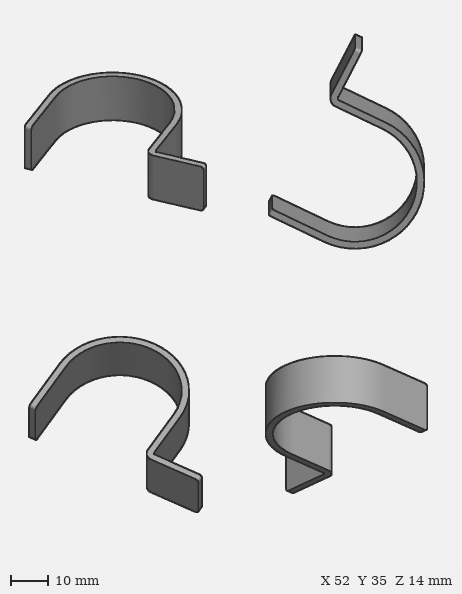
import cadquery as cq
import math

overall_length = 52.0
overall_depth = 35.0
strip_width = 14.0

thickness = 2.0
loop_outer_radius = 18.5
bend_inner_radius = 0.5
corner_radius = 1.0

loop_inner_radius = loop_outer_radius - thickness
bend_outer_radius = bend_inner_radius + thickness
bottom_y = loop_outer_radius - overall_depth
flange_end_x = overall_length - loop_outer_radius
flange_top_y = bottom_y + thickness
bend_x = loop_outer_radius + bend_inner_radius
bend_y = flange_top_y + bend_inner_radius


def bend_midpoint(radius):
    """Middle of the quarter bend between the right leg and the flange."""
    offset = radius * math.sqrt(0.5)
    return (bend_x - offset, bend_y - offset)


strip = (
    cq.Workplane("XY")
    .moveTo(-loop_outer_radius, bottom_y)
    .lineTo(-loop_outer_radius, 0)
    .threePointArc((0, loop_outer_radius), (loop_outer_radius, 0))
    .lineTo(loop_outer_radius, bend_y)
    .threePointArc(bend_midpoint(bend_inner_radius), (bend_x, flange_top_y))
    .lineTo(flange_end_x, flange_top_y)
    .lineTo(flange_end_x, bottom_y)
    .lineTo(bend_x, bottom_y)
    .threePointArc(bend_midpoint(bend_outer_radius), (loop_inner_radius, bend_y))
    .lineTo(loop_inner_radius, 0)
    .threePointArc((0, loop_inner_radius), (-loop_inner_radius, 0))
    .lineTo(-loop_inner_radius, bottom_y)
    .close()
    .extrude(strip_width)
)

strip = strip.faces(">X").edges("|Y").fillet(corner_radius)
result = strip.faces("<Y").edges("|X").edges("<X").fillet(corner_radius)